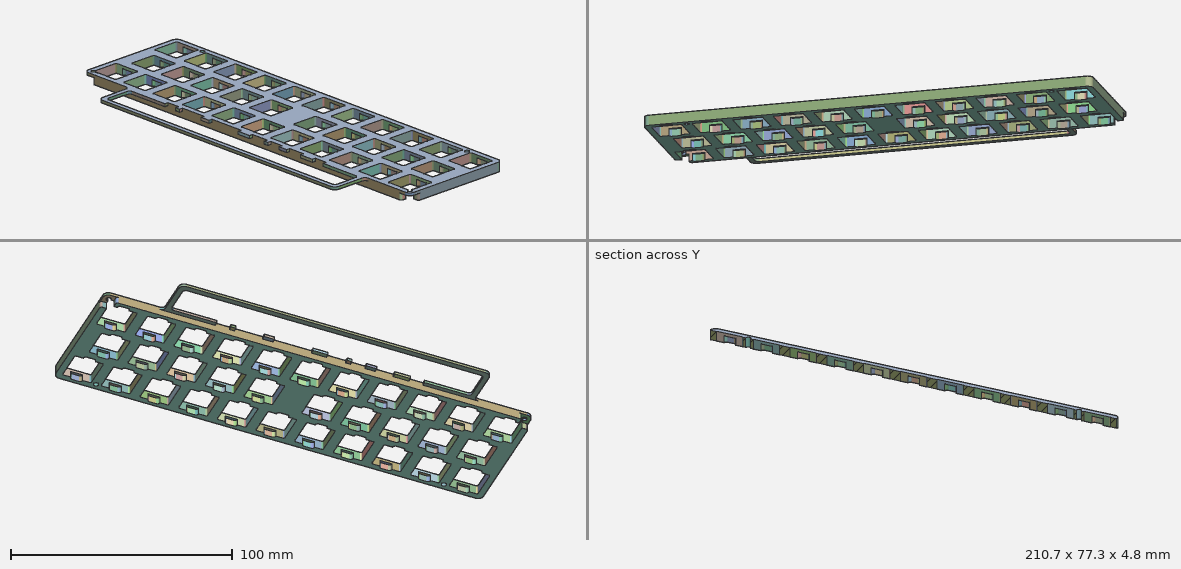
import cadquery as cq
length = 210.7
total_depth = 77.3
height = 4.8
body_depth = 58.2
plate_thickness = 1.5
outer_radius = 2.7

pitch = 19.05
opening_size = 14.1
opening_radius = 0.6
outer_row_count = 11
middle_half_count = 5
middle_shift = pitch / 4

clip_width = 6.0
clip_depth = 1.3
clip_radius = clip_depth

frame_half_length = 76.5
frame_wall = 2.5
frame_inner_radius = 2.0
window_radius = 1.7
lip_depth = 2.0

lip_gaps = [
    (-51.2, -44.2),
    (-41.7, -27.8),
    (-22.8, -3.8),
    (3.5, 13.0),
    (15.4, 22.5),
    (27.5, 36.5),
    (44.2, 51.2),
]

hole_diameter = 2.3
hole_inset = 3.0

corner_cut = 5.5
corner_cut_radius = 1.0

half_length = length / 2
half_depth = body_depth / 2
plate_bottom = height - plate_thickness
frame_end = half_depth - total_depth
window_half_length = frame_half_length - frame_wall
window_start = -half_depth - lip_depth
window_end = frame_end + frame_wall


def box(x_start, x_end, y_start, y_end, z_start, z_end):
    """Box between two opposite corners."""
    size = (x_end - x_start, y_end - y_start, z_end - z_start)
    return cq.Workplane("XY").box(*size, centered=False).translate((x_start, y_start, z_start))


def switch_centers():
    """Two full outer rows, and a middle row split into two halves about the center."""
    first = -pitch * (outer_row_count - 1) / 2
    outer = [(first + i * pitch, y) for i in range(outer_row_count) for y in (-pitch, pitch)]
    left = [(first + middle_shift + i * pitch, 0) for i in range(middle_half_count)]
    right = [(-x, y) for x, y in left]
    return outer + left + right


def make_body():
    """Lower walls, which stop short of the -Y corners with rounded ends."""
    body = box(-half_length, half_length, -half_depth, half_depth, 0, plate_bottom)
    body = body.edges("|Z and >Y").fillet(outer_radius)
    for x in (-half_length, half_length):
        cut = cq.Workplane("XY").center(x, -half_depth).rect(2 * corner_cut, 2 * corner_cut)
        body = body.cut(cut.extrude(plate_bottom))
    return body.edges("|Z and (<X or >X or <Y)").fillet(corner_cut_radius)


def make_plate():
    """Thin top plate together with the frame around the space bar window."""
    plate = box(-half_length, half_length, -half_depth, half_depth, plate_bottom, height)
    plate = plate.edges("|Z").fillet(outer_radius)
    frame = box(-frame_half_length, frame_half_length, frame_end, 0, plate_bottom, height)
    frame = frame.edges("|Z and <Y").fillet(outer_radius)
    plate = plate.union(frame)
    for x in (-frame_half_length, frame_half_length):
        inner_corner = cq.selectors.NearestToPointSelector((x, -half_depth, height - plate_thickness / 2))
        plate = plate.edges("|Z").edges(inner_corner).fillet(frame_inner_radius)

    window = box(-window_half_length, window_half_length, window_end, window_start, plate_bottom, height)
    plate = plate.cut(window.edges("|Z").fillet(window_radius))
    for gap_start, gap_end in lip_gaps:
        plate = plate.cut(box(gap_start, gap_end, window_start, -half_depth, plate_bottom, height))
    return plate


def make_openings():
    """Rounded square switch openings through the full height, each with two clip recesses."""
    opening = cq.Workplane("XY").rect(opening_size, opening_size).extrude(height)
    opening = opening.edges("|Z").fillet(opening_radius)
    recess = cq.Workplane("XY").rect(clip_width, opening_size + 2 * clip_depth).extrude(plate_bottom)
    recess = recess.edges("|Z").fillet(clip_radius)
    cutter = opening.union(recess).val()
    return cq.Workplane("XY").newObject([cutter.translate((x, y, 0)) for x, y in switch_centers()])


def make_holes():
    """Two holes between the end openings of the +Y row, and two at the -Y corners."""
    top_x = pitch * (outer_row_count - 2) / 2
    top_y = half_depth - hole_inset
    corner_x = half_length - hole_inset
    points = [(-top_x, top_y), (top_x, top_y), (-corner_x, -top_y), (corner_x, -top_y)]
    return cq.Workplane("XY").pushPoints(points).circle(hole_diameter / 2).extrude(height)


result = make_body().union(make_plate())
for opening in make_openings().vals():
    result = result.cut(cq.Workplane(obj=opening))
result = result.cut(make_holes())